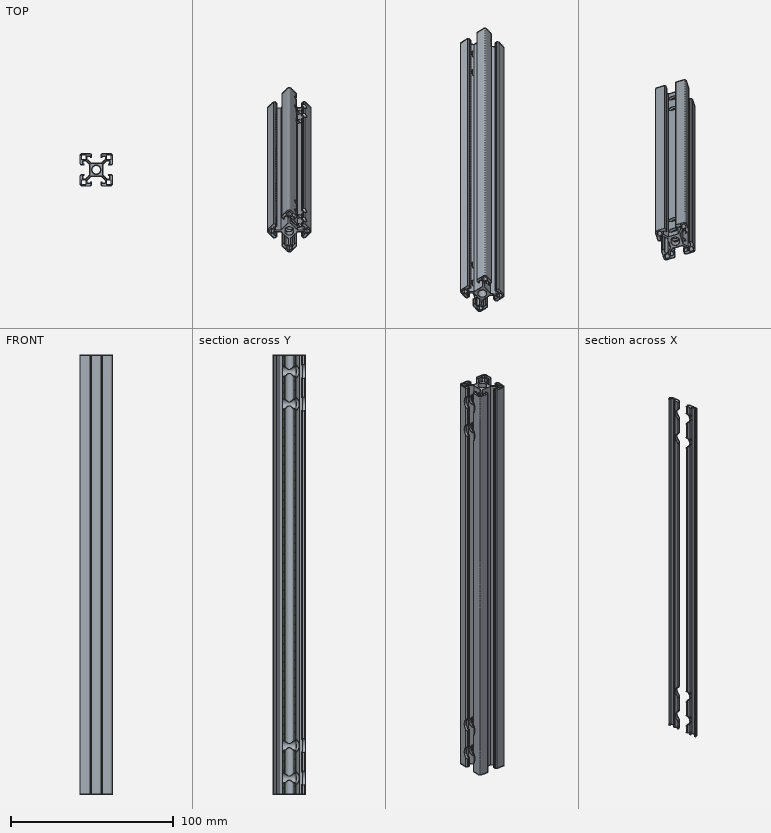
import cadquery as cq
import math

length = 270.0
width = 20.0
half_width = width / 2
corner_radius = 1.48

mouth_width = 6.0
mouth_flare_width = 0.8
mouth_flare_depth = 0.68
lip_thickness = 1.75
hook_depth = 2.5
hook_width = 0.5
channel_width = 11.0

core_width = 8.0
bore_diameter = 5.5
web_thickness = 1.22

cavity_width = 2.7
cavity_wall = 0.95

cross_hole_diameter = 6.0
access_hole_diameter = 10.5
cross_hole_end_distances = (10.0, 30.0)


def make_bar():
    """Square bar with rounded long edges."""
    bar = cq.Workplane("XY").rect(width, width).extrude(length)
    return bar.edges("|Z").fillet(corner_radius)


def make_slot():
    """Slot volume opening on the +Y side, tapering along the webs to the core."""
    mouth = mouth_width / 2
    hook_back = mouth + hook_width
    channel = channel_width / 2
    floor = core_width / 2
    web_offset = web_thickness / math.sqrt(2)
    right_side = [
        (mouth + mouth_flare_width, half_width),
        (mouth, half_width - mouth_flare_depth),
        (mouth, half_width - hook_depth),
        (hook_back, half_width - hook_depth),
        (hook_back, half_width - lip_thickness),
        (channel, half_width - lip_thickness),
        (channel, channel + web_offset),
        (floor - web_offset, floor),
    ]
    left_side = [(-x, y) for x, y in reversed(right_side)]
    return cq.Workplane("XY").polyline(right_side + left_side).close().extrude(length)


def cut_slots(bar):
    slot = make_slot()
    for side in range(4):
        bar = bar.cut(slot.rotate((0, 0, 0), (0, 0, 1), 90 * side))
    return bar


def cut_bore(bar):
    return bar.cut(cq.Workplane("XY").circle(bore_diameter / 2).extrude(length))


def cut_cavities(bar):
    pitch = width - 2 * cavity_wall - cavity_width
    cavities = (
        cq.Workplane("XY")
        .rarray(pitch, pitch, 2, 2)
        .rect(cavity_width, cavity_width)
        .extrude(length)
    )
    return bar.cut(cavities)


def make_x_holes(diameter, start_x):
    """Cylinders from start_x to the +X side, one at each cross hole height."""
    centers = []
    for distance in cross_hole_end_distances:
        centers += [(0, distance), (0, length - distance)]
    return (
        cq.Workplane("YZ", origin=(start_x, 0, 0))
        .pushPoints(centers)
        .circle(diameter / 2)
        .extrude(half_width - start_x)
    )


bar = make_bar()
bar = cut_slots(bar)
bar = cut_bore(bar)
bar = cut_cavities(bar)
bar = bar.cut(make_x_holes(cross_hole_diameter, -half_width))
result = bar.cut(make_x_holes(access_hole_diameter, core_width / 2))